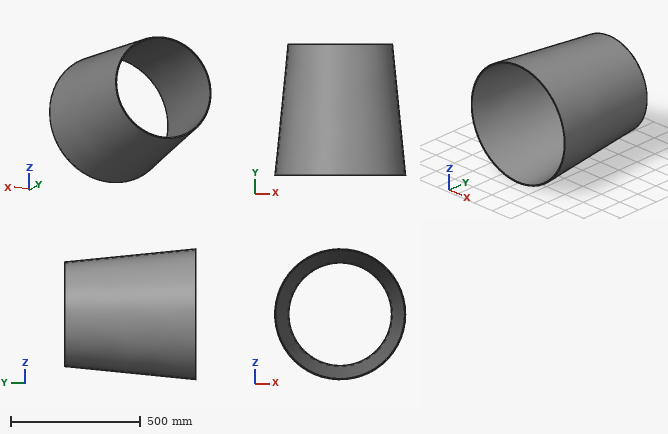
import cadquery as cq

large_diameter = 508.0
small_diameter = 406.4
wall = 5.0
length = 508.0

large_radius = large_diameter / 2
small_radius = small_diameter / 2


def reducer():
    """Thin conical shell with flat ends, revolved about the Y axis."""
    profile = cq.Workplane("XY").polyline([
        (large_radius - wall, 0),
        (large_radius, 0),
        (small_radius, length),
        (small_radius - wall, length),
    ]).close()
    return profile.revolve(360, (0, 0, 0), (0, 1, 0))


result = reducer()